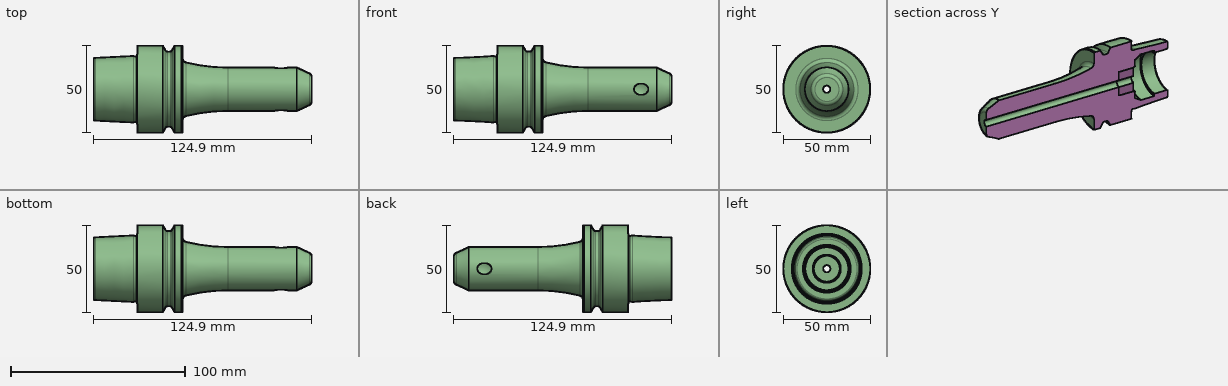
import cadquery as cq
import math


taper_end_x = 22.6
taper_end_radius = 19.1
taper_slope = 0.05
nose_round = 0.9
undercut_start_x = 23.9
undercut_end_x = 24.1
undercut_radius = 18.9
undercut_round = 0.6
seat_ring_radius = 20.1

flange_start_x = 25.0
flange_end_x = 51.0
flange_radius = 25.0
flange_chamfer_length = 0.7
flange_chamfer_depth = 0.2
groove_center_x = 43.0
groove_depth = 3.4
groove_half_width = 3.4
groove_side_angle = math.radians(30)
groove_round = 1.0

shank_radius = 12.5
neck_end_x = 76.8
neck_arc_radius = 99.9
neck_fillet = 2.5
tip_cone_x = 116.3
tip_cone_angle = math.radians(25)
tip_round = 2.5
length = 124.9

mouth_radius = 13.0
mouth_chamfer = 0.7
mouth_end_x = 9.5
clamp_radius = 14.5
clamp_end_x = 18.6
bore_floor_x = 22.5
bore_floor_radius = 12.2
plug_seat_radius = 7.4
plug_seat_chamfer_depth = 1.2
plug_seat_chamfer_width = 0.7
coolant_radius = 2.0

plug_length = 10.0
plug_start_x = bore_floor_x + plug_seat_chamfer_depth
plug_end_x = plug_start_x + plug_length

dimple_x = 107.3
dimple_sphere_radius = 8.0
dimple_depth = 1.1


def turn(profile):
    """Revolve a closed (x, radius) profile about the X axis."""
    return profile.revolve(360, (0, 0, 0), (1, 0, 0))


def axial_cylinder(radius, start_x, end_x):
    """Cylinder on the X axis."""
    return cq.Workplane("YZ", origin=(start_x, 0, 0)).circle(radius).extrude(end_x - start_x)


def outer_shape():
    nose_radius = taper_end_radius - taper_slope * (taper_end_x - nose_round)

    fillet_x = flange_end_x + neck_fillet
    neck_center_radius = shank_radius + neck_arc_radius
    center_gap = neck_arc_radius - neck_fillet
    fillet_center_radius = neck_center_radius - math.sqrt(center_gap**2 - (neck_end_x - fillet_x) ** 2)
    reach = neck_arc_radius / center_gap
    neck_start_x = neck_end_x + (fillet_x - neck_end_x) * reach
    neck_start_radius = neck_center_radius + (fillet_center_radius - neck_center_radius) * reach

    round_start_x = length - tip_round * (1 - math.sin(tip_cone_angle))
    round_start_radius = shank_radius - (round_start_x - tip_cone_x) * math.tan(tip_cone_angle)
    tip_face_radius = round_start_radius - tip_round * math.cos(tip_cone_angle)

    profile = (
        cq.Workplane("XY")
        .moveTo(0, 0)
        .lineTo(0, nose_radius - nose_round)
        .radiusArc((nose_round, nose_radius), nose_round)
        .lineTo(taper_end_x, taper_end_radius)
        .lineTo(undercut_start_x, undercut_radius)
        .lineTo(undercut_end_x, undercut_radius)
        .radiusArc((undercut_end_x + undercut_round, undercut_radius + undercut_round), -undercut_round)
        .lineTo(flange_start_x, seat_ring_radius)
        .lineTo(flange_start_x, flange_radius)
        .lineTo(flange_end_x - flange_chamfer_length, flange_radius)
        .lineTo(flange_end_x, flange_radius - flange_chamfer_depth)
        .lineTo(flange_end_x, fillet_center_radius)
        .radiusArc((neck_start_x, neck_start_radius), -neck_fillet)
        .radiusArc((neck_end_x, shank_radius), -neck_arc_radius)
        .lineTo(tip_cone_x, shank_radius)
        .lineTo(round_start_x, round_start_radius)
        .radiusArc((length, tip_face_radius), tip_round)
        .lineTo(length, 0)
        .close()
    )
    return turn(profile)


def flange_groove():
    """Ring that cuts the V groove, with rounded bottom corners."""
    bottom_radius = flange_radius - groove_depth
    bottom_half_width = groove_half_width - groove_depth * math.tan(groove_side_angle)
    tangent = groove_round * math.tan((math.pi / 2 - groove_side_angle) / 2)
    flat_half = bottom_half_width - tangent
    side_half = bottom_half_width + tangent * math.sin(groove_side_angle)
    side_radius = bottom_radius + tangent * math.cos(groove_side_angle)
    profile = (
        cq.Workplane("XY")
        .moveTo(groove_center_x - groove_half_width, flange_radius)
        .lineTo(groove_center_x - side_half, side_radius)
        .radiusArc((groove_center_x - flat_half, bottom_radius), -groove_round)
        .lineTo(groove_center_x + flat_half, bottom_radius)
        .radiusArc((groove_center_x + side_half, side_radius), -groove_round)
        .lineTo(groove_center_x + groove_half_width, flange_radius)
        .close()
    )
    return turn(profile)


def stepped_bore():
    """Mouth, wider clamping chamber, conical floor and the seat of the plug."""
    points = [
        (0, 0),
        (0, mouth_radius + mouth_chamfer),
        (mouth_chamfer, mouth_radius),
        (mouth_end_x, mouth_radius),
        (mouth_end_x, clamp_radius),
        (clamp_end_x, clamp_radius),
        (bore_floor_x, bore_floor_radius),
        (bore_floor_x, plug_seat_radius + plug_seat_chamfer_width),
        (plug_start_x, plug_seat_radius),
        (plug_end_x, plug_seat_radius),
        (plug_end_x, 0),
    ]
    return turn(cq.Workplane("XY").polyline(points).close())


def dimple_sphere(side):
    center_y = side * (shank_radius + dimple_sphere_radius - dimple_depth)
    return cq.Workplane("XY", origin=(dimple_x, center_y, 0)).sphere(dimple_sphere_radius)


def make_holder():
    holder = outer_shape().cut(flange_groove()).cut(stepped_bore())
    holder = holder.cut(axial_cylinder(coolant_radius, plug_end_x, length))
    for side in (-1, 1):
        holder = holder.cut(dimple_sphere(side))
    return holder


def make_plug():
    """Disc that fills the seat in the bore floor, with the coolant hole through it."""
    blank = axial_cylinder(plug_seat_radius, plug_start_x, plug_end_x)
    return blank.cut(axial_cylinder(coolant_radius, plug_start_x, plug_end_x))


holder = make_holder()
plug = make_plug()
result = cq.Compound.makeCompound([holder.val(), plug.val()])